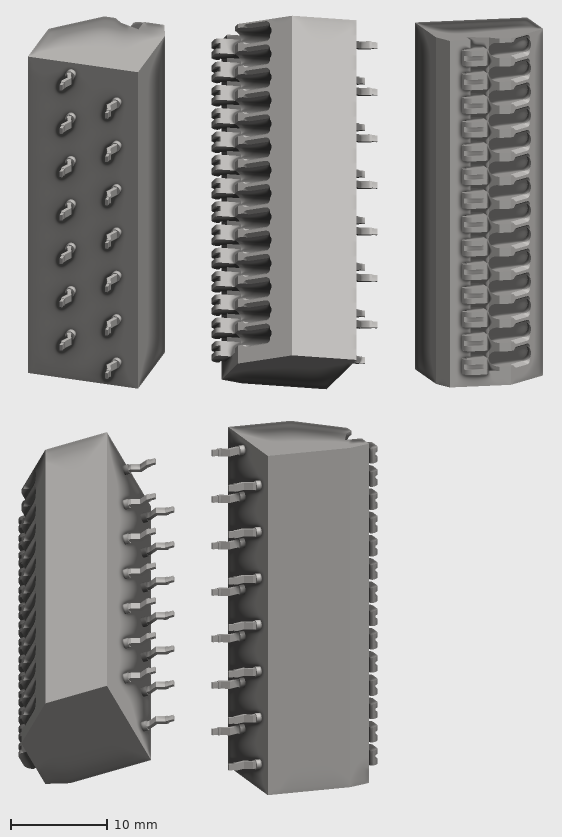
import cadquery as cq
import math

LENGTH = 36.5
POLES = 14
END_WALL = 1.5
PITCH = (LENGTH - END_WALL) / POLES
WIDTH = 12.0
HEIGHT = 11.5
WIRE_SIDE_HEIGHT = 6.9
SLOPE_RUN = HEIGHT - WIRE_SIDE_HEIGHT
BACK_SIDE_HEIGHT = 9.1
BACK_TOP_X = 11.15

CHANNEL_START_X = 5.8
CHANNEL_BEND = (6.7, 10.6)
CHANNEL_BACK_X = 8.9
CHANNEL_DEEP_Y = 9.67

SLOT_WIDTH = 1.6
SLOT_NEAR_X = 1.75
SLOT_FAR_X = 6.75
SLOT_FLOOR_Y = 7.3
MOUTH_LOW_X = 1.85
MOUTH_HIGH_X = 4.25
MOUTH_WIDTH = 2.2
MOUTH_DEPTH = 0.73
MOUTH_CORNER = 0.6
MOUTH_TAPER = 24.0

LEVER_FRONT_X = 7.37
LEVER_TOP = 13.1
LEVER_WIDTH = 1.6
LEVER_FRONT_RADIUS = 0.5
LEVER_CROWN_END_X = 9.25
HOOK_NOSE = (10.05, 12.3)
HOOK_ARC_MID = (9.75, 12.8)
HOOK_TIP_X = 9.93
HOOK_UNDERSIDE = 12.05
HOOK_NECK_X = 9.45
LEVER_GAP = 0.55
LEVER_GAP_FLOOR = 12.63

FIRST_ROW_X = 4.75
ROW_SPACING = 4.95
COLLAR_DIAMETER = 1.02
COLLAR_LENGTH = 0.55
PIN_LENGTH = 3.5
BLADE_WIDTH = 0.75
BLADE_THICKNESS = 0.4
TIP_WIDTH = 0.65
TIP_THICKNESS = 0.3
TIP_START = 2.9
BEND_START = 0.85
BEND_PEAK = 1.7
BEND_END = 2.6
BEND_OFFSET = 0.35
EMBED = 0.2


def profile_at(z):
    """Sketch plane parallel to XY at height z."""
    return cq.Workplane("XY", origin=(0, 0, z))


def module_bottom(pole):
    """Bottom of a pole's module, counted from the top end."""
    return LENGTH - (pole + 1) * PITCH


def make_housing():
    body = (
        profile_at(0)
        .polyline([
            (0, 0),
            (WIDTH, 0),
            (WIDTH, BACK_SIDE_HEIGHT),
            (BACK_TOP_X, HEIGHT),
            (SLOPE_RUN, HEIGHT),
            (0, WIRE_SIDE_HEIGHT),
        ])
        .close()
        .extrude(LENGTH)
    )
    channel = (
        profile_at(END_WALL)
        .polyline([
            (CHANNEL_START_X, HEIGHT),
            CHANNEL_BEND,
            (CHANNEL_BACK_X, CHANNEL_DEEP_Y),
            (CHANNEL_BACK_X, HEIGHT),
        ])
        .close()
        .extrude(LENGTH - END_WALL)
    )
    return body.cut(channel)


def make_wire_entry(z):
    slot = (
        cq.Workplane("XZ", origin=((SLOT_NEAR_X + SLOT_FAR_X) / 2, HEIGHT, z))
        .slot2D(SLOT_FAR_X - SLOT_NEAR_X, SLOT_WIDTH)
        .extrude(HEIGHT - SLOT_FLOOR_Y)
    )
    mouth_x = (MOUTH_LOW_X + MOUTH_HIGH_X) / 2
    slope_plane = cq.Plane(
        origin=(mouth_x, WIRE_SIDE_HEIGHT + mouth_x, z),
        xDir=(1, 1, 0),
        normal=(1, -1, 0),
    )
    mouth_length = (MOUTH_HIGH_X - MOUTH_LOW_X) * math.sqrt(2)
    mouth_outline = cq.Sketch().rect(mouth_length, MOUTH_WIDTH).vertices().fillet(MOUTH_CORNER)
    mouth = (
        cq.Workplane(slope_plane)
        .placeSketch(mouth_outline)
        .extrude(MOUTH_DEPTH, taper=MOUTH_TAPER)
    )
    return slot.union(mouth)


def make_lever(z_bottom):
    lever = (
        profile_at(z_bottom)
        .moveTo(LEVER_FRONT_X, CHANNEL_DEEP_Y - EMBED)
        .lineTo(LEVER_FRONT_X, LEVER_TOP - LEVER_FRONT_RADIUS)
        .radiusArc((LEVER_FRONT_X + LEVER_FRONT_RADIUS, LEVER_TOP), LEVER_FRONT_RADIUS)
        .lineTo(LEVER_CROWN_END_X, LEVER_TOP)
        .threePointArc(HOOK_ARC_MID, HOOK_NOSE)
        .lineTo(HOOK_TIP_X, HOOK_UNDERSIDE)
        .lineTo(HOOK_NECK_X, HOOK_UNDERSIDE)
        .lineTo(HOOK_NECK_X, CHANNEL_DEEP_Y - EMBED)
        .close()
        .extrude(LEVER_WIDTH)
    )
    gap = (
        profile_at(z_bottom + (LEVER_WIDTH - LEVER_GAP) / 2)
        .moveTo(LEVER_FRONT_X, LEVER_GAP_FLOOR)
        .rect(HOOK_NOSE[0] - LEVER_FRONT_X, LEVER_TOP - LEVER_GAP_FLOOR, centered=False)
        .extrude(LEVER_GAP)
    )
    return lever.cut(gap)


def make_pin(x, z, bend):
    """Round collar and a kinked flat blade; bend is +1 or -1 along X."""
    collar = (
        cq.Workplane("XZ", origin=(x, EMBED, z))
        .circle(COLLAR_DIAMETER / 2)
        .extrude(COLLAR_LENGTH + EMBED)
    )
    kink = [
        (0, 0),
        (0, -BEND_START),
        (bend * BEND_OFFSET, -BEND_PEAK),
        (0, -BEND_END),
        (0, -TIP_START),
    ]
    half = BLADE_THICKNESS / 2
    left_edge = [(x + offset - half, y) for offset, y in kink]
    right_edge = [(x + offset + half, y) for offset, y in reversed(kink)]
    blade = (
        profile_at(z - BLADE_WIDTH / 2)
        .polyline(left_edge + right_edge)
        .close()
        .extrude(BLADE_WIDTH)
    )
    tip = (
        cq.Workplane("XZ", origin=(x, EMBED - TIP_START, z))
        .rect(TIP_THICKNESS, TIP_WIDTH)
        .extrude(PIN_LENGTH - TIP_START + EMBED)
    )
    return collar.union(blade).union(tip)


result = make_housing()
for pole in range(POLES):
    result = result.cut(make_wire_entry(module_bottom(pole) + PITCH / 2))
for pole in range(POLES):
    row = pole % 2
    pin_x = FIRST_ROW_X + row * ROW_SPACING
    pin_bend = -1 if row else 1
    result = result.union(make_lever(module_bottom(pole)))
    result = result.union(make_pin(pin_x, module_bottom(pole) + PITCH / 2, pin_bend))